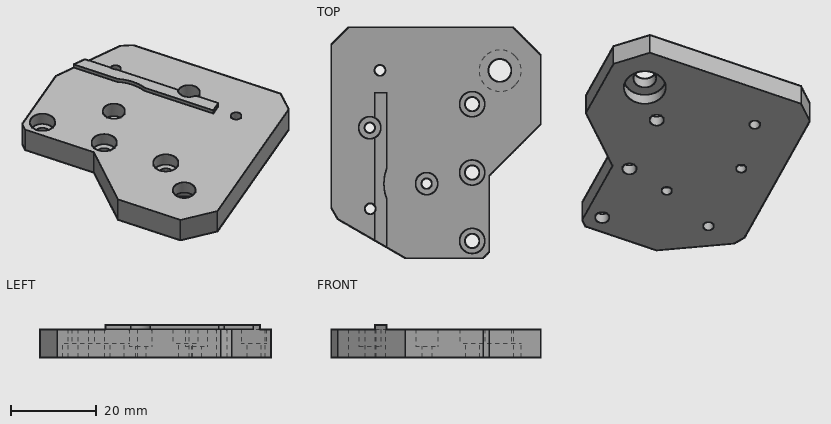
import cadquery as cq
import math

plate_length = 49.0
plate_width = 54.0
total_height = 7.6
rail_height = 1.0
plate_thickness = total_height - rail_height

rear_left_chamfer = 4.0
rear_right_chamfer = 6.5
front_right_chamfer = 1.45
neck_length = 36.95
notch_corner_y = 19.3
slant_end_x = 17.35
slant_start_x = 1.5
slant_start_y = (slant_end_x - slant_start_x) * math.tan(math.radians(30))
left_side_start_y = slant_start_y + slant_start_x * math.tan(math.radians(60))

rail_left = 10.2
rail_right = 12.95
rail_end_y = 38.7
clearance_radius = 10.0

screw_diameter = 3.3
screw_head_diameter = 5.9
screw_head_depth = 3.3
screw_row_x = 32.95
screw_row_start_y = 4.05
screw_pitch = 16.0
screw_count = 3

pivot_diameter = 2.4
pivot_head_diameter = 5.2
pivot_head_depth = 4.0
rail_pivot = (9.0, 30.5)
clearance_pivot = (22.3, 17.45)

pin_diameter = 2.5
pin_centers = [(11.4, 43.9), (9.1, 11.55)]

large_diameter = 5.3
large_recess_diameter = 9.8
large_neck_depth = 3.3
large_center = (39.4, 43.9)


def cylinder(center, diameter, bottom, top):
    """Vertical cylinder between two heights."""
    return cq.Workplane("XY", origin=(*center, bottom)).circle(diameter / 2).extrude(top - bottom)


def counterbore_tool(center, diameter, head_diameter, head_depth):
    """Through hole with a head recess measured down from the plate face."""
    hole = cylinder(center, diameter, 0, total_height)
    head = cylinder(center, head_diameter, plate_thickness - head_depth, total_height)
    return hole.union(head)


def outline_prism(height):
    """Plate outline extruded up from the underside."""
    outline = [
        (slant_end_x, 0),
        (neck_length - front_right_chamfer, 0),
        (neck_length, front_right_chamfer),
        (neck_length, notch_corner_y),
        (plate_length, notch_corner_y + plate_length - neck_length),
        (plate_length, plate_width - rear_right_chamfer),
        (plate_length - rear_right_chamfer, plate_width),
        (rear_left_chamfer, plate_width),
        (0, plate_width - rear_left_chamfer),
        (0, left_side_start_y),
        (slant_start_x, slant_start_y),
    ]
    return cq.Workplane("XY").polyline(outline).close().extrude(height)


def rail():
    """Rail trimmed to the slanted plate edge and scooped around the nearby pivot."""
    strip = cq.Workplane("XY").box(rail_right - rail_left, rail_end_y, total_height, centered=False)
    strip = strip.translate((rail_left, 0, 0)).intersect(outline_prism(total_height))
    scoop = cylinder(clearance_pivot, 2 * clearance_radius, plate_thickness, total_height)
    return strip.cut(scoop)


result = outline_prism(plate_thickness).union(rail())

for index in range(screw_count):
    screw_center = (screw_row_x, screw_row_start_y + index * screw_pitch)
    result = result.cut(
        counterbore_tool(screw_center, screw_diameter, screw_head_diameter, screw_head_depth)
    )

for pivot_center in (rail_pivot, clearance_pivot):
    result = result.cut(
        counterbore_tool(pivot_center, pivot_diameter, pivot_head_diameter, pivot_head_depth)
    )

for pin_center in pin_centers:
    result = result.cut(cylinder(pin_center, pin_diameter, 0, total_height))

result = result.cut(cylinder(large_center, large_diameter, 0, total_height))
recess_top = plate_thickness - large_neck_depth
result = result.cut(cylinder(large_center, large_recess_diameter, 0, recess_top))